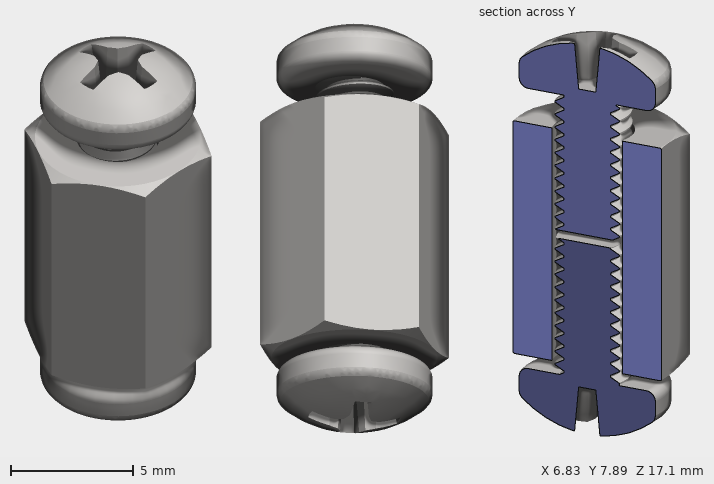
import cadquery as cq
import math

hex_across_flats = 6.83
standoff_top = 4.63
standoff_bottom = -5.62
bore_diameter = 3.42
chamfer_circle_diameter = 6.8
chamfer_drop = 0.27

head_seat = 6.15
head_diameter = 6.4
head_height = 2.46
dome_radius = 4.78
head_edge_fillet = 0.43

recess_depth = 2.05
recess_floor_arm_width = 0.46
recess_floor_diameter = 2.84
recess_facet_start = 0.94
recess_facet_ridge = 0.45
recess_wall_taper = 5.0
recess_end_taper = 16.0

thread_diameter = 3.2
core_diameter = 2.48
thread_pitch = 0.56
thread_crest_width = thread_pitch / 8
thread_flank_angle = 30.0
first_crest_drop = 0.38
shank_length = 5.98
thread_root_overlap = 0.02


def make_standoff():
    """Hexagonal bar with chamfered corners at both ends and a through bore."""
    length = standoff_top - standoff_bottom
    corner_radius = hex_across_flats / math.sqrt(3)
    bar = (
        cq.Workplane("XY")
        .polygon(6, 2 * corner_radius)
        .extrude(length)
        .rotate((0, 0, 0), (0, 0, 1), 30)
    )
    end_radius = chamfer_circle_diameter / 2
    chamfer_limit = (
        cq.Workplane("XZ")
        .moveTo(0, 0)
        .lineTo(end_radius, 0)
        .lineTo(corner_radius, chamfer_drop)
        .lineTo(corner_radius, length - chamfer_drop)
        .lineTo(end_radius, length)
        .lineTo(0, length)
        .close()
        .revolve(360, (0, 0), (0, 1))
    )
    bore = cq.Workplane("XY").circle(bore_diameter / 2).extrude(length)
    return bar.intersect(chamfer_limit).cut(bore).translate((0, 0, standoff_bottom))


def make_head():
    """Domed head with its underside on Z = 0 and both rims rounded."""
    radius = head_diameter / 2
    dome_centre = head_height - dome_radius
    half_radius = radius / 2
    rim_height = dome_centre + math.sqrt(dome_radius**2 - radius**2)
    mid_height = dome_centre + math.sqrt(dome_radius**2 - half_radius**2)
    return (
        cq.Workplane("XZ")
        .moveTo(0, 0)
        .lineTo(radius, 0)
        .lineTo(radius, rim_height)
        .threePointArc((half_radius, mid_height), (0, head_height))
        .close()
        .revolve(360, (0, 0), (0, 1))
        .edges("%CIRCLE")
        .fillet(head_edge_fillet)
    )


def make_recess():
    """Tapered cross with two flat facets in each inner corner, its arm ends on a cone."""
    floor_height = head_height - recess_depth
    half_width = recess_floor_arm_width / 2
    end_taper = math.tan(math.radians(recess_end_taper))
    floor_radius = recess_floor_diameter / 2
    top_radius = floor_radius + recess_depth * end_taper

    quarter_outline = [
        (top_radius, -half_width),
        (top_radius, half_width),
        (recess_facet_start, half_width),
        (recess_facet_ridge, recess_facet_ridge),
        (half_width, recess_facet_start),
    ]
    outline = []
    for quarter in range(4):
        cosine = math.cos(quarter * math.pi / 2)
        sine = math.sin(quarter * math.pi / 2)
        for x, y in quarter_outline:
            outline.append((x * cosine - y * sine, x * sine + y * cosine))
    cross = cq.Workplane("XY").polyline(outline).close().extrude(recess_depth, taper=-recess_wall_taper)

    end_cone = cq.Solid.makeCone(floor_radius, top_radius, recess_depth)
    return cross.intersect(cq.Workplane(end_cone)).translate((0, 0, floor_height))


def make_threaded_shank():
    """Core with a right-hand helical ridge, hanging down from Z = 0."""
    core_radius = core_diameter / 2
    root_radius = core_radius - thread_root_overlap
    crest_radius = thread_diameter / 2
    half_crest = thread_crest_width / 2
    half_root = half_crest + (crest_radius - root_radius) * math.tan(math.radians(thread_flank_angle))

    turns = math.ceil(shank_length / thread_pitch) + 2
    ridge_start = -first_crest_drop - (turns - 1) * thread_pitch
    helix = cq.Wire.makeHelix(thread_pitch, turns * thread_pitch, core_radius)
    ridge = (
        cq.Workplane("XZ")
        .moveTo(root_radius, -half_root)
        .lineTo(crest_radius, -half_crest)
        .lineTo(crest_radius, half_crest)
        .lineTo(root_radius, half_root)
        .close()
        .sweep(cq.Workplane(helix), isFrenet=True)
        .translate((0, 0, ridge_start))
    )
    core_overrun = 3 * thread_pitch
    core = (
        cq.Workplane("XY")
        .workplane(offset=core_overrun)
        .circle(core_radius)
        .extrude(-(shank_length + 2 * core_overrun))
    )
    trim = cq.Workplane("XY").rect(2 * thread_diameter, 2 * thread_diameter).extrude(-shank_length)
    return core.union(ridge).intersect(trim)


def make_screw():
    """Cross-recessed screw with its head's underside on Z = 0."""
    return make_head().cut(make_recess()).union(make_threaded_shank())


standoff = make_standoff().solids()

screws = []
for turn in (0, 180):
    screw = make_screw().translate((0, 0, head_seat)).rotate((0, 0, 0), (1, 0, 0), turn)
    screws.append(screw.solids().val())

result = cq.Compound.makeCompound([standoff.val(), *screws])